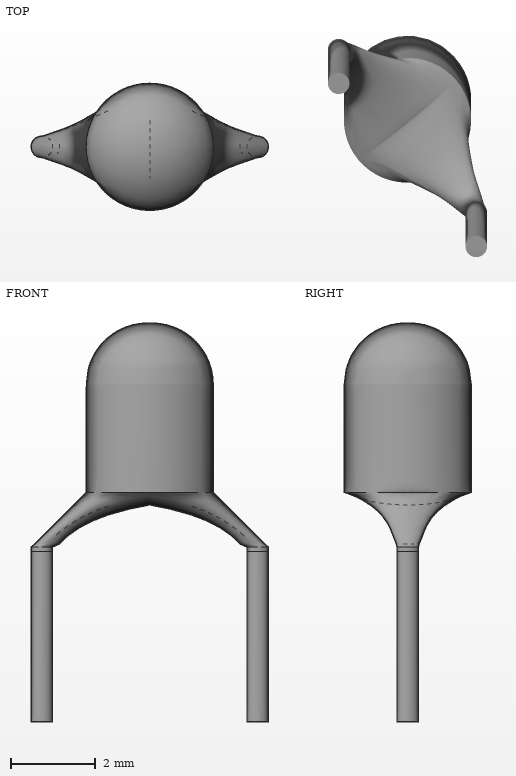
import cadquery as cq

housing_diameter = 3.0
housing_radius = housing_diameter / 2
housing_base_z = 5.405
housing_top_z = 9.4
dome_flat_radius = 0.05
dome_radius = housing_radius - dome_flat_radius

lead_diameter = 0.51
lead_radius = lead_diameter / 2
lead_pitch = 5.09
lead_x = lead_pitch / 2
lead_top_z = 4.01

stub_height = 0.1
stub_top_z = lead_top_z + stub_height
arm_foot_drop = 1.21
arm_sections = [
    (0.0, -housing_radius, housing_radius),
    (0.17, -0.75, 1.09),
    (0.39, 0.44, 0.77),
    (0.62, 1.22, 0.545),
    (0.86, 1.69, 0.41),
    (arm_foot_drop, 2.12, 0.27),
]


def section_wire(z, inner_x, outer_x, half_width):
    """Horizontal ellipse spanning inner_x to outer_x."""
    centre = cq.Vector((inner_x + outer_x) / 2, 0, z)
    half_length = (outer_x - inner_x) / 2
    ellipse = cq.Edge.makeEllipse(half_length, half_width, centre, cq.Vector(0, 0, 1), cq.Vector(1, 0, 0))
    return cq.Wire.assembleEdges([ellipse])


def make_arm():
    """Flared leg on the +X side, with a tapered foot and a short round stub."""
    wires = [
        section_wire(housing_base_z - drop, inner_x, housing_radius + drop, half_width)
        for drop, inner_x, half_width in arm_sections
    ]
    flare = cq.Solid.makeLoft(wires)
    stub_wire = section_wire(stub_top_z, lead_x - lead_radius, lead_x + lead_radius, lead_radius)
    foot = cq.Solid.makeLoft([wires[-1], stub_wire], True)
    stub = cq.Solid.makeCylinder(lead_radius, stub_height, cq.Vector(lead_x, 0, lead_top_z))
    return cq.Workplane(flare).union(cq.Workplane(foot)).union(cq.Workplane(stub))


def make_housing():
    """Domed cylinder joined to its two mirrored arms."""
    body = (
        cq.Workplane("XY")
        .workplane(offset=housing_base_z)
        .circle(housing_radius)
        .extrude(housing_top_z - housing_base_z)
        .faces(">Z")
        .edges()
        .fillet(dome_radius)
    )
    arm = make_arm()
    return body.union(arm).union(arm.mirror("YZ"))


def make_lead(x):
    """Round wire from the ground plane up to the stub of an arm."""
    return cq.Workplane("XY").center(x, 0).circle(lead_radius).extrude(lead_top_z)


housing = make_housing()
leads = [make_lead(side * lead_x) for side in (-1, 1)]

result = cq.Compound.makeCompound([housing.val(), *[lead.val() for lead in leads]])